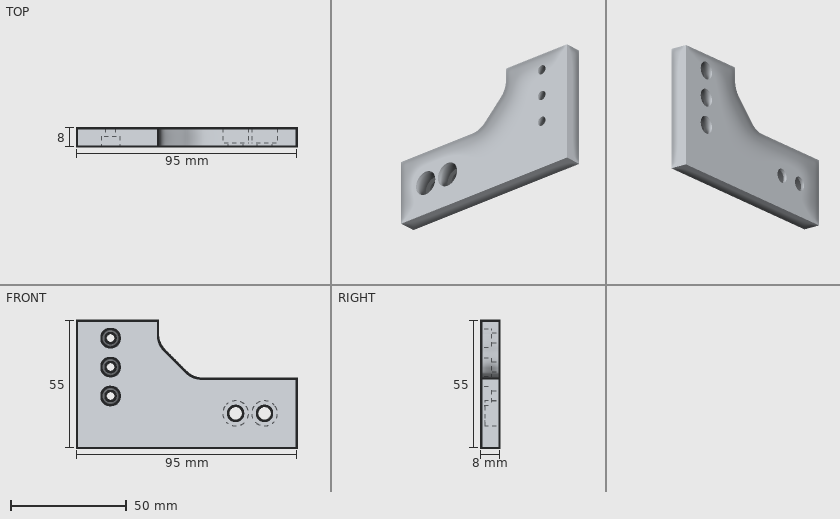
import cadquery as cq

length = 95.0
thickness = 8.0
height = 55.0

tall_width = 35.0
arm_height = 30.0
corner_slope = 15.0
corner_radius = 10.0

hole_pitch = 12.5

screw_count = 3
screw_x = 14.5
lowest_screw_z = 22.5
screw_diameter = 4.3
screw_counterbore_diameter = 8.0
screw_counterbore_depth = 4.4

arm_hole_count = 2
first_arm_hole_x = 68.5
arm_hole_z = arm_height / 2
arm_hole_diameter = 6.4
arm_counterbore_diameter = 11.0
arm_counterbore_depth = 6.4


def make_plate():
    """L-shaped plate with a sloped inner corner, rounded at both ends of the slope."""
    slope_right = tall_width + corner_slope
    slope_top = arm_height + corner_slope
    outline = [
        (0, 0),
        (length, 0),
        (length, arm_height),
        (slope_right, arm_height),
        (tall_width, slope_top),
        (tall_width, height),
        (0, height),
    ]
    plate = cq.Workplane("XZ").polyline(outline).close().extrude(-thickness)

    margin = 1.0
    slope_box = cq.selectors.BoxSelector(
        (tall_width - margin, 0, arm_height - margin),
        (slope_right + margin, thickness, slope_top + margin),
    )
    return plate.edges("|Y").edges(slope_box).fillet(corner_radius)


def make_cylinders(points, diameter, start, end):
    """Cylinders along Y at (x, z) points, between two depths behind the front face."""
    start_plane = cq.Workplane("XZ", origin=(0, start, 0))
    return start_plane.pushPoints(points).circle(diameter / 2).extrude(start - end)


def make_screw_holes():
    """Column of through holes with counterbores open to the front."""
    points = [(screw_x, lowest_screw_z + i * hole_pitch) for i in range(screw_count)]
    holes = make_cylinders(points, screw_diameter, 0, thickness)
    return holes.union(make_cylinders(points, screw_counterbore_diameter, 0, screw_counterbore_depth))


def make_arm_holes():
    """Row of through holes with counterbores open to the back."""
    points = [(first_arm_hole_x + i * hole_pitch, arm_hole_z) for i in range(arm_hole_count)]
    holes = make_cylinders(points, arm_hole_diameter, 0, thickness)
    counterbore_floor = thickness - arm_counterbore_depth
    return holes.union(make_cylinders(points, arm_counterbore_diameter, counterbore_floor, thickness))


result = make_plate().cut(make_screw_holes()).cut(make_arm_holes())